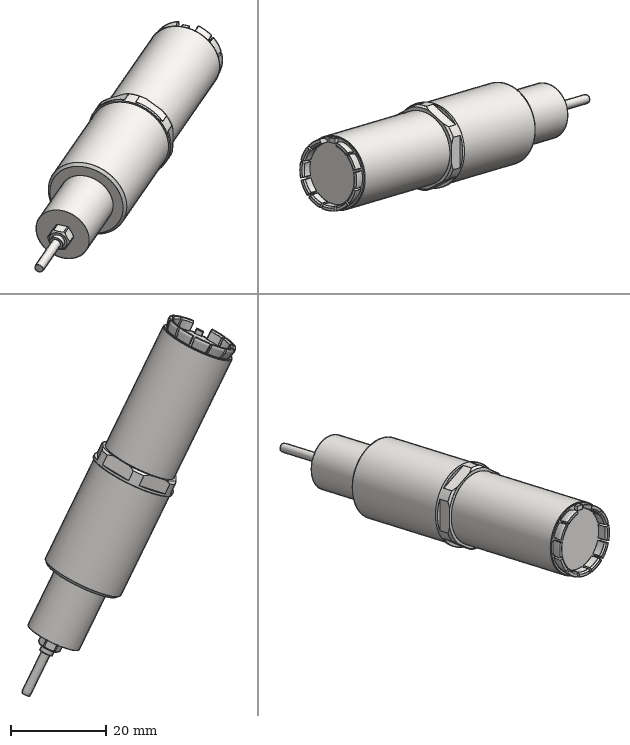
import cadquery as cq
import math

LENGTH = 86.2

RING_END = LENGTH / 2
PIN_TIP = -LENGTH / 2
COLLAR_START = -33.2
NUT_START = -32.1
STEM_START = -29.5
BODY_START = -15.7
FLANGE_START = 9.0
WRENCH_START = 9.6
FLANGE_END = 12.4
SLEEVE_END = 40.9
TAB_END = 41.8

PIN_DIA = 2.0
COLLAR_DIA = 2.9
STEM_DIA = 12.0
BODY_DIA = 17.7
FLANGE_DIA = 18.4
SLEEVE_DIA = 16.0

NUT_FLATS = 4.5
NUT_CHAMFER_DIA = 4.0
NUT_CHAMFER_HEIGHT = 0.4
NUT_TRIM_DIA = 5.0
WRENCH_FLATS = 17.0
WRENCH_TURN = 30

PIN_CHAMFER_LENGTH = 0.6
PIN_CHAMFER_DEPTH = 0.1
BODY_CHAMFER = 0.6
SLEEVE_CHAMFER = 0.2
FLANGE_CHAMFER_LENGTH = 0.5
FLANGE_CHAMFER_DEPTH = 0.4

LIP_RADIUS = 7.8
ROOT_RADIUS = 7.4
RING_BORE_RADIUS = 6.7
LIP_HEIGHT = 0.3
LIP_CHAMFER_LENGTH = 0.35
LIP_CHAMFER_DEPTH = 0.1
MOUTH_CHAMFER = 0.35
SLOT_COUNT = 12
SLOT_WIDTH = 0.5
TAB_WIDTH = 1.55


def cylinder(diameter, start, end):
    """Round bar on the Y axis between two stations."""
    return cq.Workplane("XZ", origin=(0, end, 0)).circle(diameter / 2).extrude(end - start)


def hexagon(across_flats, start, end):
    """Hexagonal bar on the Y axis with two of its corners on the X axis."""
    across_corners = across_flats / math.cos(math.pi / 6)
    return cq.Workplane("XZ", origin=(0, end, 0)).polygon(6, across_corners).extrude(end - start)


def revolved(points):
    """Solid of revolution about Y from (radius, station) points."""
    return cq.Workplane("XY").polyline(points).close().revolve(360, (0, 0, 0), (0, 1, 0))


def make_pin():
    """Contact pin with a slightly tapered tip."""
    radius = PIN_DIA / 2
    return revolved([
        (0, PIN_TIP),
        (radius - PIN_CHAMFER_DEPTH, PIN_TIP),
        (radius, PIN_TIP + PIN_CHAMFER_LENGTH),
        (radius, COLLAR_START),
        (0, COLLAR_START),
    ])


def make_nut():
    """Small hex nut with its free corners chamfered."""
    blank = hexagon(NUT_FLATS, NUT_START, STEM_START)
    trim = revolved([
        (0, NUT_START),
        (NUT_CHAMFER_DIA / 2, NUT_START),
        (NUT_TRIM_DIA / 2, NUT_START + NUT_CHAMFER_HEIGHT),
        (NUT_TRIM_DIA / 2, STEM_START),
        (0, STEM_START),
    ])
    return blank.intersect(trim)


def make_flange():
    """Round flange with six wrench flats, two of them facing along X."""
    radius = FLANGE_DIA / 2
    blank = revolved([
        (0, FLANGE_START),
        (radius, FLANGE_START),
        (radius, FLANGE_END - FLANGE_CHAMFER_LENGTH),
        (radius - FLANGE_CHAMFER_DEPTH, FLANGE_END),
        (0, FLANGE_END),
    ])
    wrench = hexagon(WRENCH_FLATS, WRENCH_START, FLANGE_END).rotate((0, 0, 0), (0, 1, 0), WRENCH_TURN)
    outside_flats = cylinder(2 * FLANGE_DIA, WRENCH_START, FLANGE_END).cut(wrench)
    return blank.cut(outside_flats)


def make_snap_ring():
    """Slotted ring of lipped fingers; the finger on +Z is replaced by a short tab."""
    lip_top = RING_END - LIP_CHAMFER_LENGTH
    ring = revolved([
        (RING_BORE_RADIUS, SLEEVE_END),
        (ROOT_RADIUS, SLEEVE_END),
        (LIP_RADIUS, lip_top - LIP_HEIGHT),
        (LIP_RADIUS, lip_top),
        (LIP_RADIUS - LIP_CHAMFER_DEPTH, RING_END),
        (RING_BORE_RADIUS + MOUTH_CHAMFER, RING_END),
        (RING_BORE_RADIUS, RING_END - MOUTH_CHAMFER),
    ])

    pitch = 360 / SLOT_COUNT
    ring_height = RING_END - SLEEVE_END
    slot = cq.Workplane("XY").box(
        SLOT_WIDTH, ring_height, 2 * LIP_RADIUS, centered=(True, False, False)
    ).translate((0, SLEEVE_END, 0))
    for index in range(SLOT_COUNT):
        ring = ring.cut(slot.rotate((0, 0, 0), (0, 1, 0), (index + 0.5) * pitch))

    gap_height = 2 * LIP_RADIUS
    gap_half_width = gap_height * math.tan(math.radians(pitch / 2))
    gap = (
        cq.Workplane("XZ", origin=(0, RING_END, 0))
        .polyline([(0, 0), (gap_half_width, gap_height), (-gap_half_width, gap_height)])
        .close()
        .extrude(ring_height)
    )
    ring = ring.cut(gap)

    tab_block = cq.Workplane("XY").box(
        TAB_WIDTH, TAB_END - SLEEVE_END, 2 * LIP_RADIUS, centered=(True, False, False)
    ).translate((0, SLEEVE_END, 0))
    tab = (
        cylinder(2 * LIP_RADIUS, SLEEVE_END, TAB_END)
        .cut(cylinder(2 * RING_BORE_RADIUS, SLEEVE_END, TAB_END))
        .intersect(tab_block)
    )
    return ring.union(tab)


pin = make_pin()
collar = cylinder(COLLAR_DIA, COLLAR_START, NUT_START)
stem = cylinder(STEM_DIA, STEM_START, BODY_START)
body = cylinder(BODY_DIA, BODY_START, FLANGE_START).faces("<Y").chamfer(BODY_CHAMFER)
sleeve = cylinder(SLEEVE_DIA, FLANGE_END, SLEEVE_END).faces(">Y").chamfer(SLEEVE_CHAMFER)

result = (
    sleeve.union(make_flange())
    .union(body)
    .union(stem)
    .union(make_nut())
    .union(collar)
    .union(pin)
    .union(make_snap_ring())
)